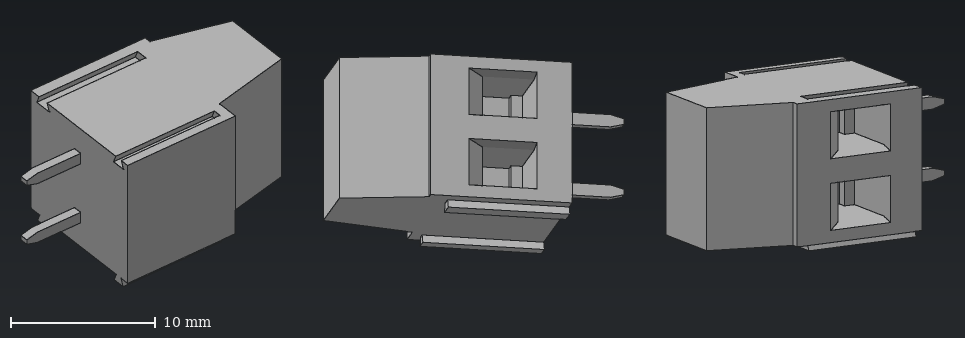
import cadquery as cq


way_pitch = 5.08
way_count = 2
body_width = 11.0
body_height = way_count * way_pitch
body_length = 16.0
entry_shoulder_y = 10.0
back_shoulder_y = 9.4
nose_base_left = 0.53
nose_base_right = 9.2
nose_tip_left = 2.13
nose_tip_right = 7.7

dovetail_length = 8.6
dovetail_flare = 0.25
dovetail_joints = (
    (1.42, 0.82, 0.10),
    (9.97, 0.55, 0.08),
)
rail_height = 0.6
slot_depth = 0.62

pin_left = 4.98
pin_thickness = 0.7
pin_height = 0.9
pin_length = 4.7
pin_taper_length = 0.95
pin_tip_height = 0.4

entry_front_y = 2.5
entry_back_y = 7.3
throat_back_y = 6.13
entry_height = 3.34
throat_height = 2.8
funnel_depth = 1.0
shelf_width = 0.8
shelf_depth = pin_left
pocket_depth = pin_left + pin_thickness


def make_body():
    outline = [
        (0, 0),
        (body_width, 0),
        (body_width, back_shoulder_y),
        (nose_base_right, back_shoulder_y),
        (nose_tip_right, body_length),
        (nose_tip_left, body_length),
        (nose_base_left, entry_shoulder_y),
        (0, entry_shoulder_y),
    ]
    return cq.Workplane("XY").polyline(outline).close().extrude(body_height)


def make_dovetail(center_x, neck_z, neck_width, depth):
    """Dovetail prism hanging below its neck, running from the pin face along +Y."""
    neck_half = neck_width / 2
    base_half = neck_half + dovetail_flare
    base_z = neck_z - depth
    section = [
        (center_x - neck_half, neck_z),
        (center_x + neck_half, neck_z),
        (center_x + base_half, base_z),
        (center_x - base_half, base_z),
    ]
    return cq.Workplane("XZ").polyline(section).close().extrude(-dovetail_length)


def make_pin(center_z):
    """Flat pin projecting from the pin face, tapered in height at its tip."""
    half = pin_height / 2
    tip_half = pin_tip_height / 2
    taper_start = pin_taper_length - pin_length
    profile = [
        (0, center_z - half),
        (0, center_z + half),
        (taper_start, center_z + half),
        (-pin_length, center_z + tip_half),
        (-pin_length, center_z - tip_half),
        (taper_start, center_z - half),
    ]
    return cq.Workplane("YZ", origin=(pin_left, 0, 0)).polyline(profile).close().extrude(pin_thickness)


def rectangle_points(y_start, y_end, center_z, height):
    half = height / 2
    return [
        (y_start, center_z - half),
        (y_end, center_z - half),
        (y_end, center_z + half),
        (y_start, center_z + half),
    ]


def make_wire_entry(center_z):
    """Cutting solid for one entry: funnel, shallow shelf and deeper pocket."""
    mouth = rectangle_points(entry_front_y, entry_back_y, center_z, entry_height)
    throat = rectangle_points(entry_front_y, throat_back_y, center_z, throat_height)
    pocket = rectangle_points(entry_front_y + shelf_width, throat_back_y, center_z, throat_height)
    funnel = (
        cq.Workplane("YZ")
        .polyline(mouth)
        .close()
        .workplane(offset=funnel_depth)
        .polyline(throat)
        .close()
        .loft(ruled=True)
    )
    throat_plane = cq.Workplane("YZ", origin=(funnel_depth, 0, 0))
    to_shelf = throat_plane.polyline(throat).close().extrude(shelf_depth - funnel_depth)
    to_floor = throat_plane.polyline(pocket).close().extrude(pocket_depth - funnel_depth)
    return funnel.union(to_shelf).union(to_floor)


result = make_body()

for joint_x, rail_neck, slot_clearance in dovetail_joints:
    result = result.union(make_dovetail(joint_x, 0, rail_neck, rail_height))
    slot_neck = rail_neck + slot_clearance
    result = result.cut(make_dovetail(joint_x, body_height, slot_neck, slot_depth))

for way in range(way_count):
    way_z = (way + 0.5) * way_pitch
    result = result.union(make_pin(way_z))
    result = result.cut(make_wire_entry(way_z))